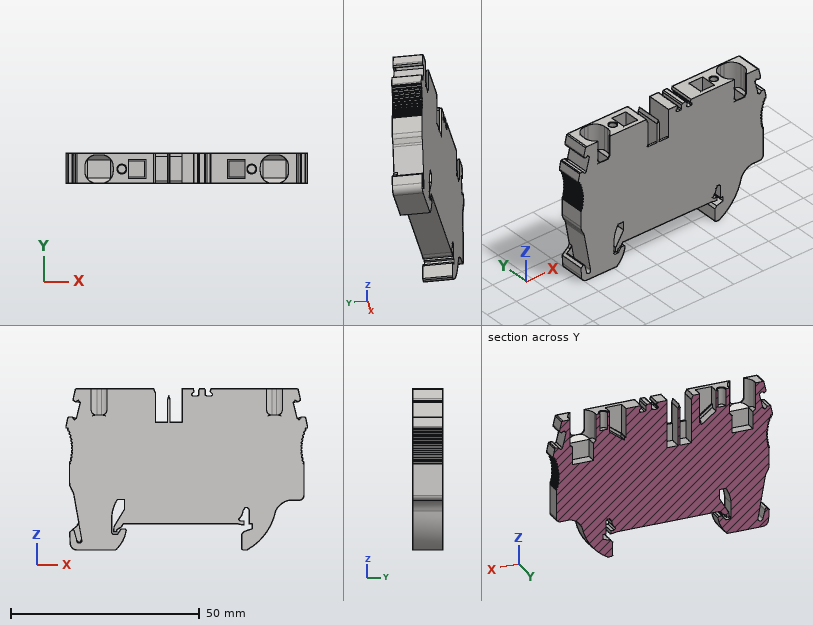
import cadquery as cq
import math

LENGTH = 64.24
WIDTH = 8.0
HEIGHT = 42.9
HALF_LENGTH = LENGTH / 2
FRONT_Y = -WIDTH / 2
BACK_Y = WIDTH / 2

SIDE_X = 31.15
TOP_END_X = 29.2
GROOVE_TIP = (28.8, 39.8)
GROOVE_TOP = (28.3, 39.2)
GROOVE_BOTTOM = (29.35, 34.95)
GROOVE_VEE = (29.85, 34.6)
GROOVE_RIM = (29.6, 39.4)
LIP_TOP_Z = 35.35
LIP_VEE_X = 30.5
LIP_BOTTOM_Z = 32.4
TOP_BEVEL = (29.6, 42.7)
GROOVE_OUTER_X = 30.2
GROOVE_NOSE_TOP_Z = 40.2
GROOVE_NOSE_BOTTOM_Z = 39.75
LIP_TOP_END_X = 31.35
LIP_BEVEL = (31.6, 35.15)
LIP_OUTER_TOP_Z = 32.8

GRIP_RADIUS = 13.05
GRIP_CENTRE = (43.4, 26.83)
GRIP_BOTTOM_Z = 22.9
TOOTH_COUNT = 10
TOOTH_PITCH = 0.945
TOOTH_HEIGHT = 0.25
TOOTH_TIP = 0.4
TOOTH_BASE = 0.62
FIRST_TOOTH_Z = 31.85

BAY_LEFT_X = -8.3
BAY_RIGHT_X = -1.25
BAY_FLOOR_Z = 33.95
BAY_CHAMFER_X = 0.5
BAY_CHAMFER_Z = 1.15
BLADE_X = -4.77
BLADE_THICKNESS = 0.75
BLADE_TIP_Z = 41.0
BLADE_SHOULDER_Z = 39.9
BAY_POCKET_FRONT_Y = -3.4
BAY_POCKET_BACK_Y = 3.1
BAY_POCKET_DEPTH = 5.0

SNAP_X = 4.08
SNAP_FLOOR_Z = 40.95
SNAP_RIB_HALF = 0.9
SNAP_RIB_CHAMFER = 0.25
SNAP_BASE_X = 0.38
SNAP_BASE_Z = 0.2
SNAP_MOUTH_HALF = 2.35
SNAP_NECK_HALF = 2.1
SNAP_NECK_Z = 42.1
SNAP_POCKET_HALF = 2.7
SNAP_POCKET_Z = 41.5
SNAP_FLOOR_HALF = 2.45
SNAP_FLOOR_BEVEL_Z = 0.2

RAIL_Z = 6.95
SHOULDER_Z = 13.2
SHOULDER_RADIUS = 1.35
FIXED_FOOT_X = 14.6
FIXED_FOOT_BEVEL = 0.3
FIXED_HOOK_Z = 5.65
FIXED_HOOK_X = 17.35
RELIEF_X = 16.55
RELIEF_TOP_Z = 11.25
BARB_X = 15.25
BARB_TOP_Z = 7.75
BARB_BOTTOM_Z = 6.7
SLIT_TOP_Z = 13.4
SLIT_RIGHT_X = -16.6
SLIT_LEFT_X = -19.9
SLIT_BOTTOM_Z = 4.25
PAWL_RIGHT_X = -18.55
PAWL_LEFT_X = -19.5
PAWL_BOTTOM_Z = 4.85
TOE_TOP_Z = 5.65
HEEL_TOP = (-30.45, 5.35)
HEEL_GAP_LEFT = ((-29.85, 4.9), (-29.2, 2.5))
HEEL_GAP_BOTTOM = (-28.5, 1.9)
HEEL_GAP_RIGHT = (-27.9, 2.8)

TERMINAL_Y = -0.2
FUNNEL_X = 23.3
FUNNEL_SIZE = 7.56
FUNNEL_FLAT = 1.2
FUNNEL_RADIUS = (FUNNEL_SIZE - FUNNEL_FLAT) / 2
FUNNEL_TAPER_BOTTOM_Z = 34.5
FUNNEL_TAPER_HEIGHT = 1.4
WIRE_LENGTH_X = 6.0
WIRE_LENGTH_Y = 4.85
WIRE_FLOOR_Z = 29.5
SLOT_WIDTH = 4.15
SLOT_FLOOR_Z = FUNNEL_TAPER_BOTTOM_Z + FUNNEL_TAPER_HEIGHT
SLOT_RADIUS = 1.25
TEST_HOLE_X = 17.25
TEST_HOLE_DIAMETER = 2.2
TEST_HOLE_CHAMFER = 0.2
TEST_HOLE_DEPTH = 5.0
DRIVER_OUTER_X = 15.5
DRIVER_INNER_X = 10.8
DRIVER_LENGTH_Y = 4.95
DRIVER_STEP = 0.4
DRIVER_DEPTH = 5.0
DRIVER_SLOPE = 37.0
DRIVER_STEP_DEPTH = 1.0

GROOVE_WEB = 0.5
FOOT_WEB = 1.0
FOOT_WEB_TOP = ((-28.7, 7.35), (-29.2, 6.4))


def mirror(points):
    """Points of a right-hand profile reflected to the left-hand end."""
    return [(-x, z) for x, z in points]


def grip_x(z, radius):
    """X of the hollow finger grip at height z, on a circle of the given radius."""
    centre_x, centre_z = GRIP_CENTRE
    return centre_x - math.sqrt(radius ** 2 - (z - centre_z) ** 2)


def end_profile():
    """Right-hand end from the top face down to the bottom of the finger grip."""
    points = [
        (TOP_END_X, HEIGHT), TOP_BEVEL, (GROOVE_OUTER_X, GROOVE_NOSE_TOP_Z),
        (GROOVE_OUTER_X, GROOVE_NOSE_BOTTOM_Z), GROOVE_RIM,
        GROOVE_TIP, GROOVE_TOP, GROOVE_BOTTOM, GROOVE_VEE,
        (LIP_VEE_X, LIP_TOP_Z), (LIP_TOP_END_X, LIP_TOP_Z), LIP_BEVEL,
        (HALF_LENGTH, LIP_OUTER_TOP_Z), (HALF_LENGTH, LIP_BOTTOM_Z),
        (grip_x(LIP_BOTTOM_Z, GRIP_RADIUS), LIP_BOTTOM_Z),
    ]
    tip_radius = GRIP_RADIUS - TOOTH_HEIGHT
    for index in range(TOOTH_COUNT):
        middle = FIRST_TOOTH_Z - index * TOOTH_PITCH
        for offset, radius in (
            (TOOTH_BASE / 2, GRIP_RADIUS),
            (TOOTH_TIP / 2, tip_radius),
            (-TOOTH_TIP / 2, tip_radius),
            (-TOOTH_BASE / 2, GRIP_RADIUS),
        ):
            z = middle + offset
            x = grip_x(z, radius)
            points.append((x, z))
    return points + [(SIDE_X, GRIP_BOTTOM_Z)]


def body():
    """Solid of the whole outline, with the top still closed."""
    right_end = end_profile()
    left_end = mirror(right_end)
    outline = cq.Workplane("XZ", origin=(0, BACK_Y, 0)).polyline(left_end[::-1] + right_end)
    outline = (
        outline
        .lineTo(SIDE_X, SHOULDER_Z + SHOULDER_RADIUS)
        .radiusArc((SIDE_X - SHOULDER_RADIUS, SHOULDER_Z), SHOULDER_RADIUS)
        .lineTo(27.2, SHOULDER_Z)
        .threePointArc((25.0, 12.15), (23.65, 10.4))
        .threePointArc((20.6, 3.9), (16.0, 0.0))
        .lineTo(FIXED_FOOT_X + FIXED_FOOT_BEVEL, 0.0)
        .lineTo(FIXED_FOOT_X, FIXED_FOOT_BEVEL)
        .lineTo(FIXED_FOOT_X, 4.2)
        .lineTo(15.2, 4.95)
        .lineTo(FIXED_HOOK_X, FIXED_HOOK_Z)
        .lineTo(FIXED_HOOK_X, RAIL_Z)
        .lineTo(RELIEF_X, RAIL_Z)
        .lineTo(RELIEF_X, 10.75)
        .lineTo(16.1, RELIEF_TOP_Z)
        .lineTo(15.5, RELIEF_TOP_Z)
        .lineTo(15.0, 10.5)
        .threePointArc((14.6, 9.2), (13.8, 8.2))
        .lineTo(14.2, BARB_TOP_Z)
        .lineTo(BARB_X, BARB_TOP_Z)
        .lineTo(BARB_X, BARB_BOTTOM_Z)
        .lineTo(14.6, BARB_BOTTOM_Z)
        .lineTo(13.5, RAIL_Z)
        .lineTo(-16.85, RAIL_Z)
        .lineTo(-17.4, 6.1)
        .lineTo(PAWL_RIGHT_X, 5.4)
        .lineTo(PAWL_RIGHT_X, PAWL_BOTTOM_Z)
        .lineTo(PAWL_LEFT_X, PAWL_BOTTOM_Z)
        .lineTo(-19.3, 6.3)
        .lineTo(SLIT_RIGHT_X, 10.8)
        .lineTo(SLIT_RIGHT_X, SLIT_TOP_Z)
        .lineTo(-18.45, SLIT_TOP_Z)
        .threePointArc((-19.45, 11.2), (SLIT_LEFT_X, 8.9))
        .lineTo(SLIT_LEFT_X, 4.6)
        .lineTo(-19.6, SLIT_BOTTOM_Z)
        .lineTo(-18.4, SLIT_BOTTOM_Z)
        .lineTo(-17.45, TOE_TOP_Z)
        .lineTo(-16.4, TOE_TOP_Z)
        .lineTo(-16.05, 5.3)
        .threePointArc((-17.05, 2.3), (-18.9, 0.0))
        .lineTo(-29.2, 0.0)
        .threePointArc((-30.4, 0.5), (-31.0, 2.0))
        .lineTo(-31.15, 4.7)
        .lineTo(*HEEL_TOP)
        .threePointArc((-30.1, 5.3), HEEL_GAP_LEFT[0])
        .lineTo(*HEEL_GAP_LEFT[1])
        .threePointArc(HEEL_GAP_BOTTOM, HEEL_GAP_RIGHT)
        .lineTo(-30.0, 14.6)
        .lineTo(-30.15, 15.2)
        .lineTo(-30.85, 16.55)
        .threePointArc((-31.08, 17.2), (-SIDE_X, 17.9))
        .close()
    )
    return outline.extrude(WIDTH)


def prism(points, front_y, back_y):
    """Polygon in XZ extruded between two Y positions."""
    plane = cq.Workplane("XZ", origin=(0, back_y, 0))
    return plane.polyline(points).close().extrude(back_y - front_y)


def blade_bay():
    """Open bay with an upright pointed blade and a pocket in its floor."""
    bay = prism(
        [
            (BAY_LEFT_X - BAY_CHAMFER_X, HEIGHT), (BAY_LEFT_X, HEIGHT - BAY_CHAMFER_Z),
            (BAY_LEFT_X, BAY_FLOOR_Z), (BAY_RIGHT_X, BAY_FLOOR_Z), (BAY_RIGHT_X, HEIGHT),
        ],
        FRONT_Y, BACK_Y,
    )
    pocket_bottom = BAY_FLOOR_Z - BAY_POCKET_DEPTH
    pocket = prism(
        [
            (BAY_LEFT_X, BAY_FLOOR_Z), (BAY_LEFT_X, pocket_bottom),
            (BAY_RIGHT_X, pocket_bottom), (BAY_RIGHT_X, BAY_FLOOR_Z),
        ],
        BAY_POCKET_FRONT_Y, BAY_POCKET_BACK_Y,
    )
    left = BLADE_X - BLADE_THICKNESS / 2
    right = BLADE_X + BLADE_THICKNESS / 2
    blade = prism(
        [
            (left, pocket_bottom), (left, BLADE_SHOULDER_Z), (BLADE_X, BLADE_TIP_Z),
            (right, BLADE_SHOULDER_Z), (right, pocket_bottom),
        ],
        FRONT_Y, BACK_Y,
    )
    return bay.union(pocket).cut(blade)


def snap_groove(side):
    """Undercut groove on one side (+1 or -1) of the snap rib."""
    profile = [
        (SNAP_RIB_HALF - SNAP_RIB_CHAMFER, HEIGHT), (SNAP_RIB_HALF, HEIGHT - 2 * SNAP_RIB_CHAMFER),
        (SNAP_RIB_HALF, SNAP_FLOOR_Z + SNAP_BASE_Z),
        (SNAP_RIB_HALF + SNAP_BASE_X, SNAP_FLOOR_Z), (SNAP_FLOOR_HALF, SNAP_FLOOR_Z),
        (SNAP_POCKET_HALF, SNAP_FLOOR_Z + SNAP_FLOOR_BEVEL_Z), (SNAP_POCKET_HALF, SNAP_POCKET_Z),
        (SNAP_NECK_HALF, SNAP_NECK_Z), (SNAP_MOUTH_HALF, HEIGHT),
    ]
    return prism([(SNAP_X + side * x, z) for x, z in profile], FRONT_Y, BACK_Y)


def box(size_x, size_y, bottom_z, top_z, x):
    """Upright box on the terminal centre line."""
    block = cq.Workplane("XY", origin=(x, TERMINAL_Y, bottom_z))
    return block.rect(size_x, size_y).extrude(top_z - bottom_z)


def wire_funnel(side):
    """Rounded wire entry that tapers to a rectangular hole, open through the front wall."""
    x = side * FUNNEL_X
    entry = box(FUNNEL_SIZE, FUNNEL_SIZE, FUNNEL_TAPER_BOTTOM_Z, HEIGHT, x)
    entry = entry.edges("|Z").fillet(FUNNEL_RADIUS)
    taper = (
        cq.Workplane("XY", origin=(x, TERMINAL_Y, FUNNEL_TAPER_BOTTOM_Z))
        .rect(WIRE_LENGTH_X, WIRE_LENGTH_Y)
        .workplane(offset=FUNNEL_TAPER_HEIGHT)
        .rect(WIRE_LENGTH_X + 2 * FUNNEL_TAPER_HEIGHT, WIRE_LENGTH_Y + 2 * FUNNEL_TAPER_HEIGHT)
        .loft(ruled=True)
    )
    shaft = box(2 * FUNNEL_SIZE, 2 * FUNNEL_SIZE, SLOT_FLOOR_Z, HEIGHT, x)
    wire_hole = box(WIRE_LENGTH_X, WIRE_LENGTH_Y, WIRE_FLOOR_Z, FUNNEL_TAPER_BOTTOM_Z, x)
    slot_height = HEIGHT - SLOT_FLOOR_Z
    slot_depth = TERMINAL_Y - FRONT_Y
    slot = (
        cq.Workplane("XY")
        .box(SLOT_WIDTH, slot_depth, slot_height, centered=(True, False, False))
        .edges("|Y and <Z").fillet(SLOT_RADIUS)
        .translate((x, FRONT_Y, SLOT_FLOOR_Z))
    )
    return entry.intersect(taper.union(shaft)).union(wire_hole).union(slot)


def test_hole(side):
    """Small blind round hole with a chamfered rim."""
    radius = TEST_HOLE_DIAMETER / 2
    rim = radius + TEST_HOLE_CHAMFER
    profile = [
        (0, HEIGHT), (rim, HEIGHT), (radius, HEIGHT - TEST_HOLE_CHAMFER),
        (radius, HEIGHT - TEST_HOLE_DEPTH), (0, HEIGHT - TEST_HOLE_DEPTH),
    ]
    hole = cq.Workplane("XZ").polyline(profile).close().revolve(360, (0, 0, 0), (0, 1, 0))
    return hole.translate((side * TEST_HOLE_X, TERMINAL_Y, 0))


def driver_hole(side):
    """Square screwdriver hole; its stepped floor drops towards the middle of the part."""
    fall = math.tan(math.radians(DRIVER_SLOPE))

    def well(inner_x, length_y, outer_depth):
        inner_depth = outer_depth + (DRIVER_OUTER_X - inner_x) * fall
        profile = [
            (DRIVER_OUTER_X, HEIGHT), (DRIVER_OUTER_X, HEIGHT - outer_depth),
            (inner_x, HEIGHT - inner_depth), (inner_x, HEIGHT),
        ]
        points = [(side * x, z) for x, z in profile]
        return prism(points, TERMINAL_Y - length_y / 2, TERMINAL_Y + length_y / 2)

    mouth = well(DRIVER_INNER_X, DRIVER_LENGTH_Y, DRIVER_DEPTH)
    narrow_length_y = DRIVER_LENGTH_Y - 2 * DRIVER_STEP
    narrow = well(DRIVER_INNER_X + DRIVER_STEP, narrow_length_y, DRIVER_DEPTH + DRIVER_STEP_DEPTH)
    return mouth.union(narrow)


def groove_webs(side):
    """Thin webs that close both undercuts of a marker groove at the back face."""
    upper = [GROOVE_RIM, GROOVE_TIP, GROOVE_TOP]
    lower = [GROOVE_BOTTOM, GROOVE_VEE, (LIP_VEE_X, LIP_TOP_Z)]
    webs = cq.Workplane("XY")
    for corner in (upper, lower):
        points = [(side * x, z) for x, z in corner]
        webs = webs.add(prism(points, BACK_Y - GROOVE_WEB, BACK_Y))
    return webs.combine()


def foot_web():
    """Thin web across the gap behind the heel of the spring foot."""
    points = [*FOOT_WEB_TOP, HEEL_TOP, *HEEL_GAP_LEFT, HEEL_GAP_BOTTOM, HEEL_GAP_RIGHT]
    return prism(points, BACK_Y - FOOT_WEB, BACK_Y)


result = body().cut(blade_bay()).union(foot_web())
for end in (-1, 1):
    result = result.cut(snap_groove(end))
    result = result.cut(wire_funnel(end)).cut(test_hole(end)).cut(driver_hole(end))
    result = result.union(groove_webs(end))